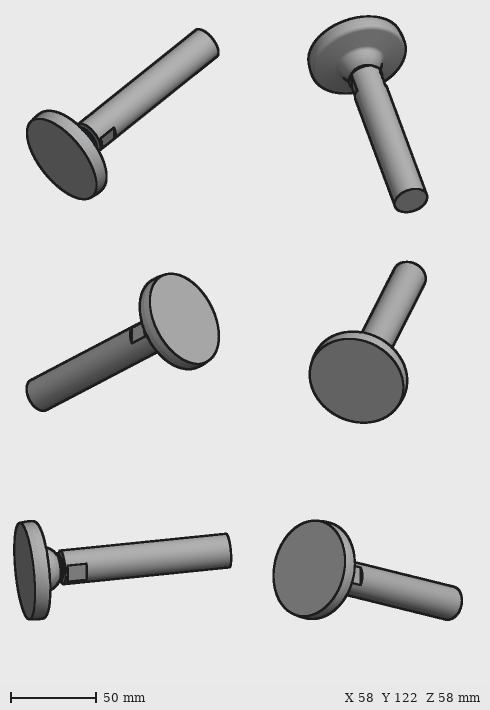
import cadquery as cq
import math

total_length = 122.0
foot_radius = 58.0 / 2
stem_radius = 20.0 / 2

sole_radius = foot_radius - 0.5
band_start = 4.1
band_end = 7.1
rim_fillet = 2.6
slope_angle = math.radians(10)
slope_end_radius = 15.0
rim_top_radius = foot_radius - rim_fillet * (1 - math.sin(slope_angle))
rim_top_height = band_end + rim_fillet * math.cos(slope_angle)
slope_end_height = rim_top_height + (rim_top_radius - slope_end_radius) * math.tan(slope_angle)
dome_base_radius = 13.0
dome_base_height = 13.3
dome_bulge_radius = 11.1
dome_bulge_height = 17.1
dome_top_radius = 7.9
dome_top_height = 19.9

lip_radius = 8.7
lip_height = 20.7
neck_radius = 6.0
neck_height = 22.0
shoulder_height = 22.5

flat_spacing = 17.0
flat_length = 11.5
flat_start = 23.9

sole_y = -total_length / 2


def revolve_about_y(profile):
    """Revolve a closed half-profile in the XY plane and set it on the sole."""
    return profile.revolve(360, (0, 0, 0), (0, 1, 0)).translate((0, sole_y, 0))


def make_foot():
    """Round foot with a drafted sole, rounded rim, sloping top and dome."""
    profile = (
        cq.Workplane("XY")
        .lineTo(sole_radius, 0)
        .lineTo(foot_radius, band_start)
        .lineTo(foot_radius, band_end)
        .tangentArcPoint((rim_top_radius, rim_top_height), relative=False)
        .lineTo(slope_end_radius, slope_end_height)
        .tangentArcPoint((dome_base_radius, dome_base_height), relative=False)
        .threePointArc((dome_bulge_radius, dome_bulge_height), (dome_top_radius, dome_top_height))
        .lineTo(0, dome_top_height)
        .close()
    )
    return revolve_about_y(profile)


def make_stem():
    """Shank with a necked, lipped lower end resting on the dome."""
    profile = (
        cq.Workplane("XY")
        .moveTo(0, dome_top_height)
        .lineTo(dome_top_radius, dome_top_height)
        .lineTo(lip_radius, lip_height)
        .lineTo(neck_radius, neck_height)
        .lineTo(stem_radius, shoulder_height)
        .lineTo(stem_radius, total_length)
        .lineTo(0, total_length)
        .close()
    )
    return cut_wrench_flats(revolve_about_y(profile))


def cut_wrench_flats(stem):
    """Cut two opposite flats facing -X and +X."""
    cutter_depth = stem_radius
    cutter_center_x = (flat_spacing + cutter_depth) / 2
    cutter_center_y = sole_y + flat_start + flat_length / 2
    for side in (-1, 1):
        cutter = cq.Workplane("XY").box(cutter_depth, flat_length, 2 * stem_radius)
        stem = stem.cut(cutter.translate((side * cutter_center_x, cutter_center_y, 0)))
    return stem


foot = make_foot()
stem = make_stem()

result = cq.Compound.makeCompound([foot.val(), stem.val()])